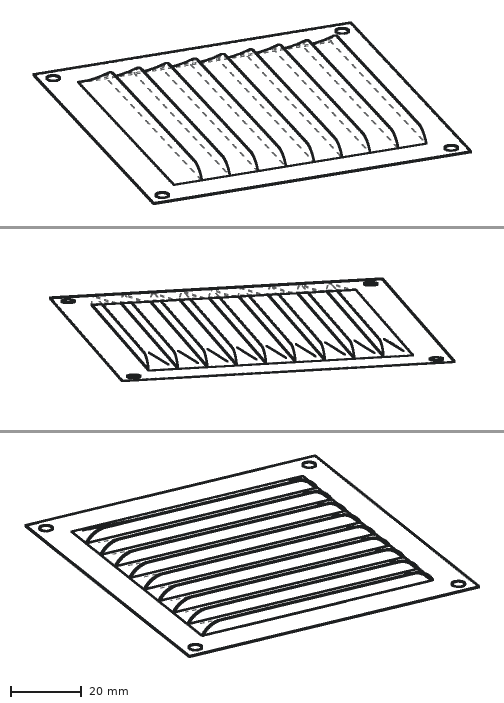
import cadquery as cq
import math

plate_width = 93.32
plate_length = 96.14
sheet_thickness = 0.3
overall_height = 4.01

hole_diameter = 3.8
hole_edge_distance = 4.3

louvre_count = 9
louvre_pitch = 8.5
louvre_width = 74.5
louvre_rise = overall_height - sheet_thickness
louvre_half_width = louvre_width / 2
louvre_field_length = louvre_count * louvre_pitch

shoulder_radius = 7.2
shoulder_angle = math.acos(1 - louvre_rise / shoulder_radius)
shoulder_run = shoulder_radius * math.sin(shoulder_angle)
shoulder_steps = 8
crown_steps = 16


def perforated_plate():
    """Flat sheet on Z = 0 with corner holes and one window for the louvre field."""
    hole_spacing_x = plate_width - 2 * hole_edge_distance
    hole_spacing_y = plate_length - 2 * hole_edge_distance
    plate = cq.Workplane("XY").rect(plate_width, plate_length).extrude(sheet_thickness)
    holes = (
        cq.Workplane("XY")
        .rect(hole_spacing_x, hole_spacing_y, forConstruction=True)
        .vertices()
        .circle(hole_diameter / 2)
        .extrude(sheet_thickness)
    )
    window = cq.Workplane("XY").rect(louvre_width, louvre_field_length).extrude(sheet_thickness)
    return plate.cut(holes).cut(window)


def mouth_curve_points(half_width):
    """Points (x, z) along the top of a mouth, from its left end to its right end."""
    crown_half_width = half_width - shoulder_run
    right_shoulder = []
    for i in range(1, shoulder_steps + 1):
        angle = shoulder_angle * i / shoulder_steps
        x = crown_half_width + shoulder_radius * math.sin(angle)
        z = overall_height - shoulder_radius * (1 - math.cos(angle))
        right_shoulder.append((x, z))
    left_shoulder = [(-x, z) for x, z in reversed(right_shoulder)]

    crown = []
    for i in range(crown_steps + 1):
        sweep = math.pi * (i / crown_steps - 0.5)
        crown.append((crown_half_width * math.sin(sweep), overall_height))
    return left_shoulder + crown + right_shoulder


def louvre_section(y, top_points):
    """Section with a flat base and one smooth curve along its top."""
    left_x, right_x = top_points[0][0], top_points[-1][0]
    parameters = [(x - left_x) / (right_x - left_x) for x, z in top_points]
    return (
        cq.Workplane("XZ", origin=(0, y, 0))
        .moveTo(left_x, 0)
        .lineTo(*top_points[0])
        .spline(top_points[1:], parameters=parameters, includeCurrent=True)
        .lineTo(right_x, 0)
        .close()
        .val()
    )


def louvre_envelope(half_width):
    """Solid wedge from a sheet-thick toe at Y = 0 up to the round-shouldered mouth."""
    mouth_points = mouth_curve_points(half_width)
    toe_points = [(x, sheet_thickness) for x, z in mouth_points]
    toe = louvre_section(0, toe_points)
    mouth = louvre_section(louvre_pitch, mouth_points)
    return cq.Workplane(cq.Solid.makeLoft([toe, mouth], True))


def louvre_skin():
    """One louvre of sheet material, open at the mouth and below."""
    hollow = louvre_envelope(louvre_half_width - sheet_thickness)
    return louvre_envelope(louvre_half_width).cut(hollow.translate((0, 0, -sheet_thickness)))


louvred_sheet = perforated_plate()
skin = louvre_skin()
for i in range(louvre_count):
    toe_y = i * louvre_pitch - louvre_field_length / 2
    louvred_sheet = louvred_sheet.union(skin.translate((0, toe_y, 0)))

result = cq.Compound.makeCompound([louvred_sheet.val()])